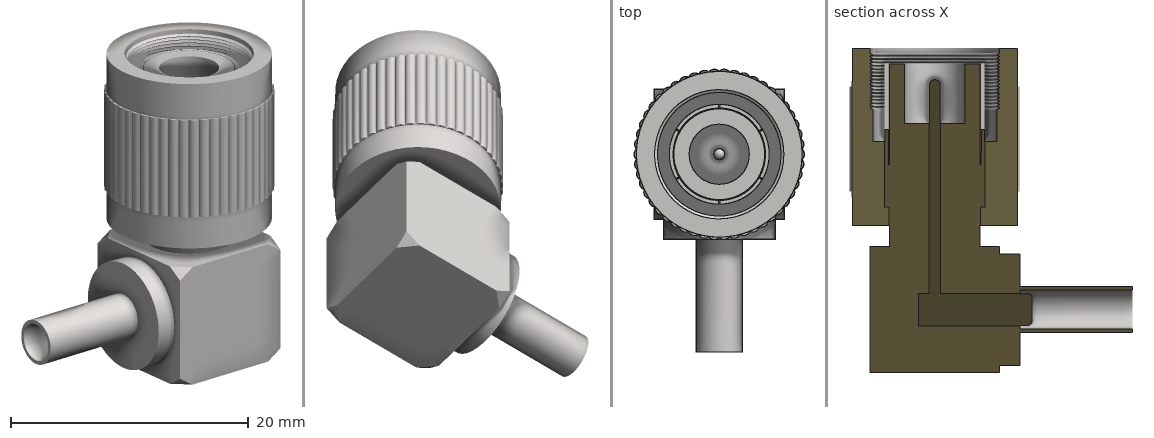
import cadquery as cq
import math


block_width = 10.95
block_height = 10.65
corner_run = 1.37
corner_drop = 0.88
cable_axis_z = block_height / 2
flange_radius = 4.72
flange_front_y = -7.17
tube_radius = 1.96
tube_bore_radius = 1.63
tube_end_y = -16.66

nut_bottom_z = 12.4
nut_top_z = 27.3
nut_radius = 6.97
knurl_bottom_z = 15.26
knurl_top_z = 24.08
knurl_crest_radius = 7.175
knurl_count = 50
thread_crest_radius = 5.2
mouth_depth = 0.4
thread_pitch = 0.287
thread_depth = 0.24
thread_turns = 16
thread_root_radius = thread_crest_radius + thread_depth
nut_cavity_floor_z = 19.5
nut_collar_top_z = 14.0

core_radius = 3.82
core_top_z = 26.0
recess_radius = 2.53
recess_depth = 5.0
sleeve_radius = 4.2
sleeve_gap = 0.07
sleeve_bore_radius = core_radius + sleeve_gap
sleeve_root_z = 17.5
slot_count = 6
slot_width = 0.1
slot_bottom_z = 20.5

pin_radius = 0.465
pin_top_z = 24.7
stub_radius = 1.35
stub_fillet = 0.42
stub_front_y = -8.2


def cylinder_z(radius, bottom_z, top_z):
    """Upright cylinder on the plug axis."""
    return cq.Workplane("XY", origin=(0, 0, bottom_z)).circle(radius).extrude(top_z - bottom_z)


def cylinder_y(radius, front_y, back_y):
    """Cylinder on the cable axis, from its -Y end to its +Y end."""
    plane = cq.Workplane("XZ", origin=(0, back_y, cable_axis_z))
    return plane.circle(radius).extrude(back_y - front_y)


def polar(radius, angle):
    return (radius * math.cos(angle), radius * math.sin(angle))


def make_contact():
    pin = cylinder_z(pin_radius, cable_axis_z, pin_top_z - pin_radius)
    tip = cq.Workplane("XY", origin=(0, 0, pin_top_z - pin_radius)).sphere(pin_radius)
    stub = cylinder_y(stub_radius, stub_front_y, stub_radius)
    stub = stub.faces("<Y").edges().fillet(stub_fillet)
    return pin.union(tip).union(stub)


def corner_cutter():
    """Pyramid that trims the block corner at +X, +Y, top."""
    half = block_width / 2
    corner = cq.Vector(half, half, block_height)
    on_x = cq.Vector(half - corner_run, half, block_height)
    on_y = cq.Vector(half, half - corner_run, block_height)
    on_z = cq.Vector(half, half, block_height - corner_drop)
    triangles = [
        (corner, on_x, on_y),
        (corner, on_y, on_z),
        (corner, on_z, on_x),
        (on_x, on_z, on_y),
    ]
    faces = [cq.Face.makeFromWires(cq.Wire.makePolygon(points, close=True)) for points in triangles]
    return cq.Workplane(cq.Solid.makeSolid(cq.Shell.makeShell(faces)))


def make_block():
    block = cq.Workplane("XY").box(block_width, block_width, block_height, centered=(True, True, False))
    top_cutter = corner_cutter()
    bottom_cutter = top_cutter.mirror("XY", (0, 0, cable_axis_z))
    for quarter in range(4):
        angle = 90 * quarter
        block = block.cut(top_cutter.rotate((0, 0, 0), (0, 0, 1), angle))
        block = block.cut(bottom_cutter.rotate((0, 0, 0), (0, 0, 1), angle))
    return block


def make_sleeve():
    """Spring sleeve round the core, split into fingers by narrow slots."""
    sleeve = cylinder_z(sleeve_radius, nut_collar_top_z, core_top_z)
    sleeve = sleeve.cut(cylinder_z(sleeve_bore_radius, sleeve_root_z, core_top_z))
    for slot in range(slot_count):
        angle = 90 + 360 / slot_count * slot
        cutter = cq.Workplane("XY", origin=(0, 0, slot_bottom_z)).box(
            2 * sleeve_radius, slot_width, core_top_z - slot_bottom_z, centered=(False, True, False)
        )
        sleeve = sleeve.cut(cutter.rotate((0, 0, 0), (0, 0, 1), angle))
    return sleeve


def make_body(contact):
    body = make_block()
    body = body.union(cylinder_y(flange_radius, flange_front_y, 0))
    body = body.union(cylinder_y(tube_radius, tube_end_y, 0))
    body = body.union(make_sleeve())
    body = body.union(cylinder_z(core_radius, cable_axis_z, core_top_z))
    body = body.cut(cylinder_z(recess_radius, core_top_z - recess_depth, core_top_z))
    body = body.cut(cylinder_y(tube_bore_radius, tube_end_y, flange_front_y))
    return body.cut(contact)


def make_knurl():
    pitch_angle = 2 * math.pi / knurl_count
    outline = cq.Workplane("XY", origin=(0, 0, knurl_bottom_z))
    outline = outline.moveTo(*polar(nut_radius, -pitch_angle / 2))
    for ridge in range(knurl_count):
        crest_angle = ridge * pitch_angle
        crest = polar(knurl_crest_radius, crest_angle)
        valley = polar(nut_radius, crest_angle + pitch_angle / 2)
        outline = outline.threePointArc(crest, valley)
    return outline.close().extrude(knurl_top_z - knurl_bottom_z)


def make_nut_cavity():
    """Revolved cavity: sleeve bore, threaded bore with V grooves, plain mouth."""
    mouth_floor_z = nut_top_z - mouth_depth
    first_crest_z = mouth_floor_z - thread_pitch / 2
    points = [
        (0, nut_collar_top_z),
        (sleeve_radius, nut_collar_top_z),
        (sleeve_radius, nut_cavity_floor_z),
        (thread_crest_radius, nut_cavity_floor_z),
    ]
    for turn in range(thread_turns, 0, -1):
        groove_bottom_z = first_crest_z - turn * thread_pitch
        points.append((thread_crest_radius, groove_bottom_z))
        points.append((thread_root_radius, groove_bottom_z + thread_pitch / 2))
    points += [
        (thread_crest_radius, first_crest_z),
        (thread_root_radius, mouth_floor_z),
        (thread_root_radius, nut_top_z),
        (0, nut_top_z),
    ]
    return cq.Workplane("XZ").polyline(points).close().revolve(360, (0, 0, 0), (0, 1, 0))


def make_nut():
    nut = make_knurl()
    nut = nut.union(cylinder_z(nut_radius, nut_bottom_z, knurl_bottom_z))
    nut = nut.union(cylinder_z(nut_radius, knurl_top_z, nut_top_z))
    nut = nut.cut(make_nut_cavity())
    return nut.cut(cylinder_z(core_radius, nut_bottom_z, nut_collar_top_z))


contact = make_contact()
body = make_body(contact)
nut = make_nut()

result = cq.Compound.makeCompound([nut.val(), body.val(), contact.val()])